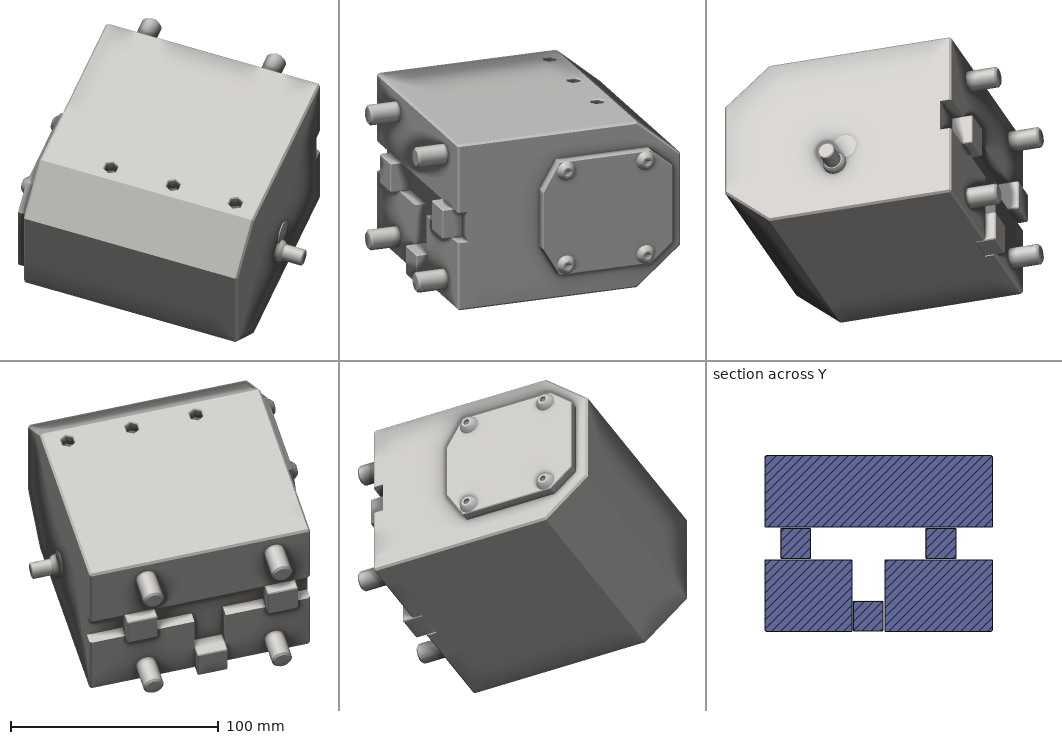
import cadquery as cq
import math


slope_angle = 40.0
body_left = -50.0
body_length = 110.0
body_right = body_left + body_length
body_depth = 115.0
body_height = 85.0
body_slope_depth = 22.5
body_slope_height = body_slope_depth * math.tan(math.radians(slope_angle))
body_chamfer = 1.0

pin_spacing = 64.0
pin_diameter = 10.0
pin_projection = 15.0
pin_chamfer = 1.0

key_size = 15.0
key_projection = 5.0
key_chamfer = 0.5
key_outer_reach = body_height / 2
slot_clearance = 0.3
slot_width = key_size + 2 * slot_clearance
slot_depth = 5.5

socket_across_flats = 6.0
socket_mouth_chamfer = 0.5
socket_depth = 6.0
socket_spacing = 32.0
socket_count = 3
socket_first_x = -socket_spacing / 2
socket_y = -85.0

cover_thickness = 5.0
cover_back = -42.0
cover_length = 67.0
cover_height = 58.0
cover_back_corner_depth = 8.6
cover_back_corner_height = 14.5
cover_front_corner_depth = 11.3
cover_front_corner_height = cover_front_corner_depth * math.tan(math.radians(slope_angle))
cover_chamfer = 0.4

screw_rows_y = (-54.0, -95.0)
screw_spacing_z = 48.0
screw_head_diameter = 9.5
screw_head_height = 2.69
screw_top_diameter = 5.0
screw_socket_across_flats = 3.0
screw_socket_depth = 1.6
screw_dome_bulge = 0.25

shaft_y = -59.0
shaft_z = -17.0
shaft_diameter = 8.0
shaft_projection = 13.5
shaft_chamfer = 0.5
collar_base_diameter = 11.6
collar_top_diameter = 8.8
collar_height = 3.3
collar_bulge = 0.4
plug_y = -54.0
plug_z = -9.0
plug_diameter = 12.0
plug_projection = 0.8

socket_point_angle = 118.0


def hex_socket(across_flats, depth, mouth_chamfer=0.0):
    """Hexagon cutter going down from the XY plane, pointed below, with an optional flared mouth.

    It is the common volume of three identical pointed bars turned 60 degrees apart.
    Two corners of the hexagon point along Y.
    """
    half_flat = across_flats / 2
    half_mouth = half_flat + mouth_chamfer
    point_height = half_flat / math.tan(math.radians(socket_point_angle / 2))
    right_side = [(half_mouth, 0), (half_flat, -depth)]
    if mouth_chamfer > 0:
        right_side.insert(1, (half_flat, -mouth_chamfer))
    left_side = [(-x, z) for x, z in reversed(right_side)]
    outline = right_side + [(0, -depth - point_height)] + left_side
    bar_half_length = 2 * half_mouth
    bar = cq.Workplane("XZ").polyline(outline).close().extrude(bar_half_length, both=True)
    cutter = bar
    for angle in (60, 120):
        cutter = cutter.intersect(bar.rotate((0, 0, 0), (0, 0, 1), angle))
    return cutter


def make_body():
    half_height = body_height / 2
    slope_start_y = -body_depth + body_slope_depth
    slope_end_z = half_height - body_slope_height
    outline = [
        (0, -half_height),
        (0, half_height),
        (slope_start_y, half_height),
        (-body_depth, slope_end_z),
        (-body_depth, -slope_end_z),
        (slope_start_y, -half_height),
    ]
    body = cq.Workplane("YZ", origin=(body_left, 0, 0)).polyline(outline).close().extrude(body_length)
    return body.faces("<X or >X or >Y").chamfer(body_chamfer)


def cut_slots(body):
    """T of slots in the mounting face: one along X, one from the axis down."""
    cross = cq.Workplane("XY").box(body_length, slot_depth, slot_width, centered=(False, False, True))
    cross = cross.translate((body_left, -slot_depth, 0))
    drop = cq.Workplane("XY").box(slot_width, slot_depth, body_height / 2, centered=(True, False, False))
    drop = drop.translate((0, -slot_depth, -body_height / 2))
    return body.cut(cross).cut(drop)


def make_keys():
    """Keys on the left, right and lower arms of the slots."""
    centre_reach = key_outer_reach - key_size / 2
    key = cq.Workplane("XY").box(key_size, slot_depth + key_projection, key_size)
    key = key.edges().chamfer(key_chamfer)
    key_y = (key_projection - slot_depth) / 2
    keys = cq.Workplane("XY")
    for x, z in ((-centre_reach, 0), (centre_reach, 0), (0, -centre_reach)):
        keys = keys.add(key.translate((x, key_y, z)))
    return keys


def make_pins():
    root_y = -slot_depth
    pins = cq.Workplane("XZ", origin=(0, root_y, 0)).rarray(pin_spacing, pin_spacing, 2, 2)
    pins = pins.circle(pin_diameter / 2).extrude(-(pin_projection - root_y))
    return pins.faces(">Y").chamfer(pin_chamfer)


def cut_top_sockets(body):
    cutter = hex_socket(socket_across_flats, socket_depth, socket_mouth_chamfer)
    for index in range(socket_count):
        x = socket_first_x + index * socket_spacing
        body = body.cut(cutter.translate((x, socket_y, body_height / 2)))
    return body


def make_cover():
    half_height = cover_height / 2
    cover_front = cover_back - cover_length
    back_z = half_height - cover_back_corner_height
    front_z = half_height - cover_front_corner_height
    outline = [
        (cover_back, -back_z),
        (cover_back, back_z),
        (cover_back - cover_back_corner_depth, half_height),
        (cover_front + cover_front_corner_depth, half_height),
        (cover_front, front_z),
        (cover_front, -front_z),
        (cover_front + cover_front_corner_depth, -half_height),
        (cover_back - cover_back_corner_depth, -half_height),
    ]
    plate = cq.Workplane("YZ", origin=(body_left, 0, 0)).polyline(outline).close().extrude(-cover_thickness)
    return plate.faces("<X").chamfer(cover_chamfer)


def domed_disc(base_radius, top_radius, height, bulge):
    """Disc standing on the XY plane whose side is an arc bulging outward."""
    slant = math.hypot(base_radius - top_radius, height)
    mid_radius = (base_radius + top_radius) / 2 + bulge * height / slant
    mid_height = height / 2 + bulge * (base_radius - top_radius) / slant
    return (
        cq.Workplane("XZ")
        .lineTo(base_radius, 0)
        .threePointArc((mid_radius, mid_height), (top_radius, height))
        .lineTo(0, height)
        .close()
        .revolve(360, (0, 0), (0, 1))
    )


def make_cover_screws():
    head = domed_disc(screw_head_diameter / 2, screw_top_diameter / 2, screw_head_height, screw_dome_bulge)
    socket = hex_socket(screw_socket_across_flats, screw_socket_depth)
    head = head.cut(socket.translate((0, 0, screw_head_height)))
    head = head.rotate((0, 0, 0), (0, 1, 0), -90)
    screws = cq.Workplane("XY")
    for y in screw_rows_y:
        for z in (-screw_spacing_z / 2, screw_spacing_z / 2):
            screws = screws.add(head.translate((body_left - cover_thickness, y, z)))
    return screws


def make_shaft():
    collar = domed_disc(collar_base_diameter / 2, collar_top_diameter / 2, collar_height, collar_bulge)
    stub = cq.Workplane("XY").circle(shaft_diameter / 2).extrude(shaft_projection)
    stub = stub.faces(">Z").chamfer(shaft_chamfer)
    shaft = collar.union(stub).rotate((0, 0, 0), (0, 1, 0), 90)
    return shaft.translate((body_right, shaft_y, shaft_z))


def make_plug():
    """Rim of a countersunk plug, widening at 45 degrees away from the body."""
    rim_radius = plug_diameter / 2
    return (
        cq.Workplane("YZ", origin=(body_right, plug_y, plug_z))
        .circle(rim_radius - plug_projection)
        .workplane(offset=plug_projection)
        .circle(rim_radius)
        .loft()
    )


result = cut_top_sockets(cut_slots(make_body()))
for group in (make_keys(), make_pins(), make_cover(), make_cover_screws(), make_shaft(), make_plug()):
    for piece in group.vals():
        result = result.union(cq.Workplane(piece))